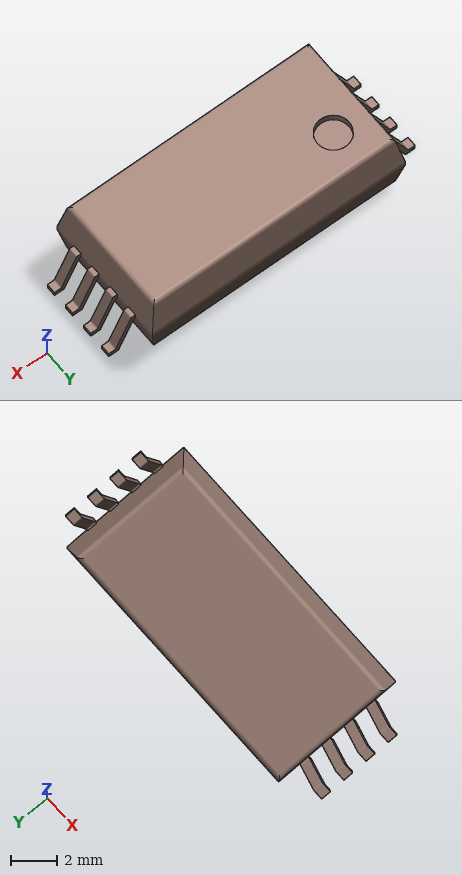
import cadquery as cq
import math

total_height = 3.95
body_length = 13.8
body_width = 6.7
standoff = 0.2
face_inset = 0.33
edge_radius = 0.2

mark_diameter = 1.72
mark_depth = 0.4
mark_x = -4.7
mark_y = 1.12

lead_span = 16.7
lead_thickness = 0.25
lead_width = 0.5
lead_pitch = 1.27
leads_per_side = 4
lead_top = 2.1
foot_length = 0.37
shank_run = 0.85
bend_radius = 0.08

belt_bottom = lead_top - lead_thickness


def make_sloped_half(start_height, end_height):
    """Frustum from the belt outline to the smaller outer face."""
    return (
        cq.Workplane("XY", origin=(0, 0, start_height))
        .rect(body_length, body_width)
        .workplane(offset=end_height - start_height)
        .rect(body_length - 2 * face_inset, body_width - 2 * face_inset)
        .loft(ruled=True)
    )


def make_body():
    """Moulded body: belt, two sloped halves, rounded rims and a round pin 1 mark."""
    belt = (
        cq.Workplane("XY", origin=(0, 0, belt_bottom))
        .rect(body_length, body_width)
        .extrude(lead_thickness)
    )
    upper_half = make_sloped_half(lead_top, total_height)
    lower_half = make_sloped_half(belt_bottom, standoff)
    body = belt.union(upper_half).union(lower_half)
    body = body.faces(">Z or <Z").edges().fillet(edge_radius)
    mark = (
        cq.Workplane("XY", origin=(mark_x, mark_y, total_height - mark_depth))
        .circle(mark_diameter / 2)
        .extrude(mark_depth)
    )
    return body.cut(mark)


def make_lead(y_center):
    """Gull-wing lead on the -X side: flat foot, sloped shank, shoulder against the belt."""
    tip_x = -lead_span / 2
    shoulder_x = -body_length / 2
    upper_bend_x = tip_x + foot_length
    upper_knee_x = upper_bend_x + shank_run
    slope_angle = math.atan2(lead_top - lead_thickness, shank_run)
    corner_shift = lead_thickness * math.tan(slope_angle / 2)
    outline = [
        (tip_x, 0),
        (upper_bend_x + corner_shift, 0),
        (upper_knee_x + corner_shift, belt_bottom),
        (shoulder_x, belt_bottom),
        (shoulder_x, lead_top),
        (upper_knee_x, lead_top),
        (upper_bend_x, lead_thickness),
        (tip_x, lead_thickness),
    ]
    lead = (
        cq.Workplane("XZ", origin=(0, y_center, 0))
        .polyline(outline)
        .close()
        .extrude(lead_width / 2, both=True)
    )
    bend_zone = cq.selectors.BoxSelector(
        (tip_x + foot_length / 2, y_center - lead_width, -lead_thickness),
        (shoulder_x - bend_radius / 2, y_center + lead_width, lead_top + lead_thickness),
    )
    return lead.edges("|Y").edges(bend_zone).fillet(bend_radius)


body = make_body()

leads = []
for index in range(leads_per_side):
    lead_y = (index - (leads_per_side - 1) / 2) * lead_pitch
    left_lead = make_lead(lead_y)
    right_lead = left_lead.mirror("YZ")
    leads.append(left_lead.val())
    leads.append(right_lead.val())

result = cq.Compound.makeCompound([body.val(), *leads])